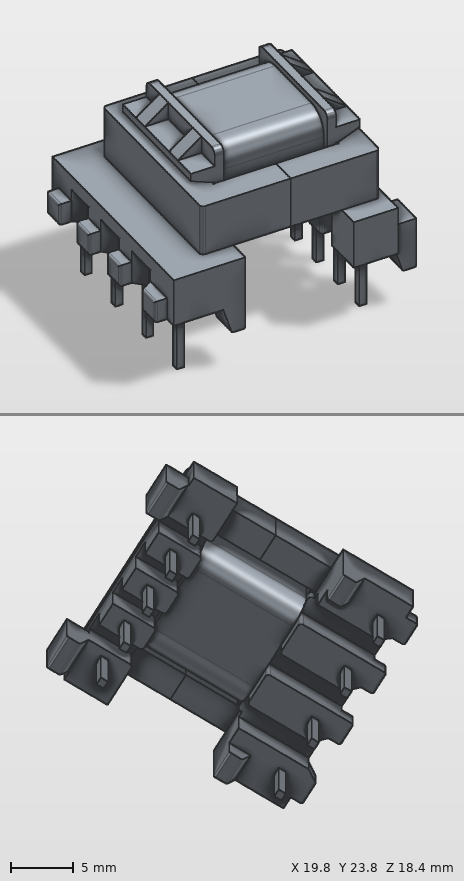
import cadquery as cq


CORE_LENGTH_X = 16.1
CORE_LENGTH_Y = 16.4
CORE_BOTTOM = 4.53
CORE_HEIGHT = 4.7
CORE_TOP = CORE_BOTTOM + CORE_HEIGHT
CORE_WINDOW_X = 11.3
CORE_WINDOW_Y = 11.5
CORE_FILLET = 0.35

WINDING_SIZE = 10.06
WINDING_FILLET = 2.06
WINDING_LENGTH = 9.5
WINDING_MIDDLE_Z = CORE_BOTTOM + CORE_HEIGHT / 2

FLANGE_WIDTH = 11.12
FLANGE_THICKNESS = 0.83
FLANGE_INNER_Y = WINDING_LENGTH / 2
FLANGE_OUTER_Y = FLANGE_INNER_Y + FLANGE_THICKNESS
FLANGE_TOP = 12.42
FLANGE_FILLET = 0.55
SHELF_END_Y = 7.76
SHELF_EDGE_BOTTOM = 10.1
SHELF_TOP = 10.82
RIB_WIDTH = 1.44
RIB_X = 2.7

BLOCK_LENGTH = 19.8
BLOCK_TOP = 4.45
CHANNEL_HEIGHT = 3.1
LOBE_INNER_X = 6.05
POST_FILLET = 0.3
REAR_BLOCK_OUTER_Y = 8.82
FRONT_BLOCK_OUTER_Y = -11.77
FRONT_LOBE_INNER_Y = -5.2

REAR_POST_PITCH = 3.5
REAR_POST_WIDTH = 2.1
FRONT_POST_LEFT_X = (-4.02, 0.98)
FRONT_POST_WIDTH = 2.04
FRONT_POST_FLARE = 1.0
FRONT_POST_FLARE_DEPTH = 1.0
FRONT_LOBE_FLARE = 0.75
FRONT_LOBE_FLARE_DEPTH = 0.96

GUIDE_WIDTH = FRONT_POST_WIDTH
GUIDE_HEIGHT = 2.04
GUIDE_DEPTH = 1.12
GUIDE_FILLET = 0.2
GUIDE_LEFT_X = (-8.83, *FRONT_POST_LEFT_X)
LAST_GUIDE_LEFT_X = 6.77

FOOT_DROP = 2.5
FOOT_TOP_DEPTH = 2.03
FOOT_BOTTOM_DEPTH = 1.23
FOOT_FILLET = 0.2
REAR_FOOT_END_Y = 10.93
REAR_FOOT_TOP = 2.23
REAR_FOOT_WIDTH = 3.06
FRONT_FOOT_WIDTH = 2.4

PIN_SIZE = 0.67
PIN_LENGTH = 5.98
REAR_PIN_X = [pitches * REAR_POST_PITCH for pitches in (-2, -1, 0, 1, 2)]
REAR_PIN_Y = 7.03
FRONT_PIN_X = (-7.53, -2.5, 2.5, 7.53)
FRONT_PIN_Y = -10.0


def box(x_range, y_range, z_range):
    """Box between two limits on each axis."""
    size = [high - low for low, high in (x_range, y_range, z_range)]
    corner = (x_range[0], y_range[0], z_range[0])
    return cq.Workplane("XY").box(*size, centered=False).translate(corner)


def prism_along_x(yz_points, x_low, x_high):
    """Outline in the YZ plane, extruded from x_low to x_high."""
    return cq.Workplane("YZ").workplane(offset=x_low).polyline(yz_points).close().extrude(x_high - x_low)


def prism_along_z(xy_points, height):
    """Outline in the XY plane, extruded up from Z = 0."""
    return cq.Workplane("XY").polyline(xy_points).close().extrude(height)


def make_core_half():
    """Rear half of the core: an end bar and two side legs that stop at Y = 0."""
    half_length = CORE_LENGTH_X / 2
    half_window = CORE_WINDOW_X / 2
    outside = box((-half_length, half_length), (0, CORE_LENGTH_Y / 2), (CORE_BOTTOM, CORE_TOP))
    outside = outside.edges("|Z and >Y").fillet(CORE_FILLET)
    window = box((-half_window, half_window), (0, CORE_WINDOW_Y / 2), (CORE_BOTTOM, CORE_TOP))
    return outside.cut(window)


def make_winding():
    """Rounded square block between the flanges."""
    block = cq.Workplane("XY").box(WINDING_SIZE, WINDING_LENGTH, WINDING_SIZE)
    return block.edges("|Y").fillet(WINDING_FILLET).translate((0, 0, WINDING_MIDDLE_Z))


def make_rear_flange():
    """Rear flange with its upper shelf and two ribs."""
    half_width = FLANGE_WIDTH / 2
    plate = box((-half_width, half_width), (FLANGE_INNER_Y, FLANGE_OUTER_Y), (BLOCK_TOP, FLANGE_TOP))
    plate = plate.edges("|Y and >Z").fillet(FLANGE_FILLET)
    shelf_outline = [
        (FLANGE_INNER_Y, CORE_TOP),
        (FLANGE_OUTER_Y, CORE_TOP),
        (SHELF_END_Y, SHELF_EDGE_BOTTOM),
        (SHELF_END_Y, SHELF_TOP),
        (FLANGE_INNER_Y, SHELF_TOP),
    ]
    flange = plate.union(prism_along_x(shelf_outline, -half_width, half_width))
    rib_outline = [
        (FLANGE_OUTER_Y, SHELF_TOP),
        (SHELF_END_Y, SHELF_TOP),
        (FLANGE_OUTER_Y, FLANGE_TOP),
    ]
    for rib_x in (-RIB_X, RIB_X):
        flange = flange.union(prism_along_x(rib_outline, rib_x - RIB_WIDTH / 2, rib_x + RIB_WIDTH / 2))
    return flange


def make_foot(x_low, x_high, straight_y, top):
    """Foot with a straight +Y face and a -Y face that tapers below Z = 0."""
    top_y = straight_y - FOOT_TOP_DEPTH
    outline = [
        (straight_y, top),
        (straight_y, -FOOT_DROP),
        (straight_y - FOOT_BOTTOM_DEPTH, -FOOT_DROP),
        (top_y, 0),
        (top_y, top),
    ]
    return prism_along_x(outline, x_low, x_high).edges("|X and <Z").fillet(FOOT_FILLET)


def make_pins(x_positions, pin_y):
    """Row of square pins hanging below the block."""
    row = cq.Workplane("XY").pushPoints([(pin_x, pin_y) for pin_x in x_positions])
    return row.rect(PIN_SIZE, PIN_SIZE).extrude(-PIN_LENGTH)


def make_wire_guides():
    """Blocks standing out from the front face; the last has a slanted side along the wire."""
    end_y = FRONT_BLOCK_OUTER_Y - GUIDE_DEPTH
    base_left_x = [*GUIDE_LEFT_X, LOBE_INNER_X]
    end_left_x = [*GUIDE_LEFT_X, LAST_GUIDE_LEFT_X]
    guides = cq.Workplane("XY")
    for base_x, end_x in zip(base_left_x, end_left_x):
        outline = [
            (base_x, FRONT_BLOCK_OUTER_Y),
            (end_x, end_y),
            (end_x + GUIDE_WIDTH, end_y),
            (end_x + GUIDE_WIDTH, FRONT_BLOCK_OUTER_Y),
        ]
        guides = guides.union(prism_along_z(outline, GUIDE_HEIGHT).faces("<Y").edges().fillet(GUIDE_FILLET))
    return guides


def make_rear_bobbin_end():
    """Rear block with straight wire channels, two feet behind it, flange and five pins."""
    half_length = BLOCK_LENGTH / 2
    depth = (FLANGE_INNER_Y, REAR_BLOCK_OUTER_Y)
    body = box((-half_length, half_length), depth, (CHANNEL_HEIGHT, BLOCK_TOP))
    for pitches in (-1, 0, 1):
        left_x = pitches * REAR_POST_PITCH - REAR_POST_WIDTH / 2
        post = box((left_x, left_x + REAR_POST_WIDTH), depth, (0, CHANNEL_HEIGHT))
        body = body.union(post.edges("|Z and <Y").fillet(POST_FILLET))
    left_lobe = box((-half_length, -LOBE_INNER_X), depth, (0, CHANNEL_HEIGHT))
    left_lobe = left_lobe.edges("|Z and <Y and >X").fillet(POST_FILLET)
    left_foot = make_foot(-LOBE_INNER_X - REAR_FOOT_WIDTH, -LOBE_INNER_X, REAR_FOOT_END_Y, REAR_FOOT_TOP)
    foot_web = box(
        (-LOBE_INNER_X - REAR_FOOT_WIDTH, -LOBE_INNER_X),
        (REAR_BLOCK_OUTER_Y, REAR_FOOT_END_Y),
        (0, REAR_FOOT_TOP),
    )
    left_side = left_lobe.union(left_foot).union(foot_web)
    body = body.union(left_side).union(left_side.mirror("YZ"))
    return body.union(make_rear_flange()).union(make_pins(REAR_PIN_X, REAR_PIN_Y))


def make_front_bobbin_end():
    """Front block with flared wire channels, two feet, wire guides, flange and four pins."""
    half_length = BLOCK_LENGTH / 2
    inner_y = -FLANGE_INNER_Y
    body = box(
        (-half_length, half_length),
        (FRONT_BLOCK_OUTER_Y, FRONT_LOBE_INNER_Y),
        (CHANNEL_HEIGHT, BLOCK_TOP),
    )
    neck = box(
        (-FLANGE_WIDTH / 2, FLANGE_WIDTH / 2),
        (FRONT_LOBE_INNER_Y - POST_FILLET, inner_y),
        (CHANNEL_HEIGHT, BLOCK_TOP),
    )
    body = body.union(neck.edges("|Z and >Y").fillet(POST_FILLET))
    for left_x in FRONT_POST_LEFT_X:
        outline = [
            (left_x, FRONT_BLOCK_OUTER_Y),
            (left_x + FRONT_POST_WIDTH, FRONT_BLOCK_OUTER_Y),
            (left_x + FRONT_POST_WIDTH + FRONT_POST_FLARE, FRONT_BLOCK_OUTER_Y + FRONT_POST_FLARE_DEPTH),
            (left_x + FRONT_POST_WIDTH + FRONT_POST_FLARE, inner_y),
            (left_x, inner_y),
        ]
        post = prism_along_z(outline, CHANNEL_HEIGHT).edges("|Z and >Y").fillet(POST_FILLET)
        body = body.union(post)
    left_lobe_outline = [
        (-half_length, FRONT_BLOCK_OUTER_Y),
        (-LOBE_INNER_X - FRONT_LOBE_FLARE, FRONT_BLOCK_OUTER_Y),
        (-LOBE_INNER_X, FRONT_BLOCK_OUTER_Y + FRONT_LOBE_FLARE_DEPTH),
        (-LOBE_INNER_X, FRONT_LOBE_INNER_Y),
        (-half_length, FRONT_LOBE_INNER_Y),
    ]
    right_lobe = box(
        (LOBE_INNER_X, half_length),
        (FRONT_BLOCK_OUTER_Y, FRONT_LOBE_INNER_Y),
        (0, CHANNEL_HEIGHT),
    )
    body = body.union(prism_along_z(left_lobe_outline, CHANNEL_HEIGHT)).union(right_lobe)
    for foot_left_x in (-half_length, half_length - FRONT_FOOT_WIDTH):
        foot_right_x = foot_left_x + FRONT_FOOT_WIDTH
        body = body.union(make_foot(foot_left_x, foot_right_x, FRONT_LOBE_INNER_Y, BLOCK_TOP))
    body = body.union(make_wire_guides()).union(make_rear_flange().mirror("XZ"))
    return body.union(make_pins(FRONT_PIN_X, FRONT_PIN_Y))


rear_core_half = make_core_half()
front_core_half = rear_core_half.mirror("XZ")
winding = make_winding()
rear_bobbin_end = make_rear_bobbin_end()
front_bobbin_end = make_front_bobbin_end()

result = cq.Compound.makeCompound([
    rear_core_half.val(),
    front_core_half.val(),
    winding.val(),
    rear_bobbin_end.val(),
    front_bobbin_end.val(),
])